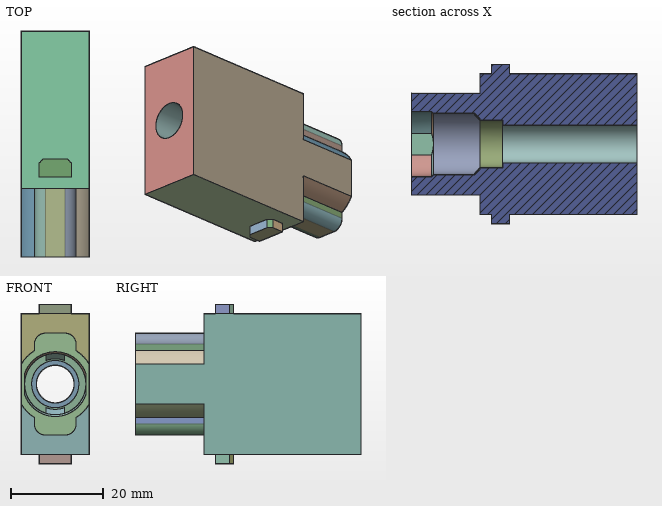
import cadquery as cq

overall_length = 48.7
width = 14.65
overall_height = 34.4
key_height = 2.0
block_height = overall_height - 2 * key_height
plug_length = 14.8
block_length = overall_length - plug_length

barrel_diameter = 17.0
bar_width = 9.0
bar_height = 21.95
bar_corner_radius = 2.4

key_width = 6.95
key_length = 3.9
key_setback = 2.5
key_chamfer = 0.93

bore_direction = cq.Vector(0, 1, 0)
mouth_diameter = 14.0
mouth_depth = 4.4
socket_diameter = 13.2
socket_depth = plug_length
seat_diameter = 10.2
seat_depth = 4.85
through_diameter = 8.1

stop_width = 4.0
stop_inner_diameter = 10.9


def centred_block(x_size, y_start, y_size, z_size):
    """Block centred on the bore axis, starting at y_start and running toward +Y."""
    return cq.Workplane("XY").box(x_size, y_size, z_size).translate((0, y_start + y_size / 2, 0))


def bore_cylinder(diameter, y_start, length):
    """Cylinder on the bore axis, starting at y_start and running toward +Y."""
    cylinder = cq.Solid.makeCylinder(diameter / 2, length, cq.Vector(0, y_start, 0), bore_direction)
    return cq.Workplane(cylinder)


def bore_taper(start_diameter, end_diameter, y_start):
    """45 degree taper on the bore axis, narrowing toward +Y."""
    length = (start_diameter - end_diameter) / 2
    start = cq.Vector(0, y_start, 0)
    cone = cq.Solid.makeCone(start_diameter / 2, end_diameter / 2, length, start, bore_direction)
    return cq.Workplane(cone)


def make_plug():
    barrel = bore_cylinder(barrel_diameter, 0, plug_length)
    barrel = barrel.intersect(centred_block(width, 0, plug_length, barrel_diameter))
    bar = centred_block(bar_width, 0, plug_length, bar_height).edges("|Y").fillet(bar_corner_radius)
    return barrel.union(bar)


def make_keys():
    prism = centred_block(key_width, plug_length + key_setback, key_length, overall_height)
    return prism.faces(">Y").edges("|Z").chamfer(key_chamfer)


def make_stops():
    ramp_length = (socket_diameter - stop_inner_diameter) / 2
    ramp_start = socket_depth - ramp_length
    stops = centred_block(stop_width, ramp_start, ramp_length, socket_diameter)
    stops = stops.intersect(bore_cylinder(socket_diameter, ramp_start, ramp_length))
    return stops.cut(bore_taper(socket_diameter, stop_inner_diameter, ramp_start))


def make_bore():
    mouth = bore_cylinder(mouth_diameter, 0, mouth_depth)
    mouth = mouth.union(bore_taper(mouth_diameter, socket_diameter, mouth_depth))
    mouth = mouth.intersect(centred_block(socket_diameter, 0, socket_depth, mouth_diameter))
    socket = bore_cylinder(socket_diameter, 0, socket_depth).cut(make_stops())
    seat = bore_cylinder(seat_diameter, 0, socket_depth + seat_depth)
    through_hole = bore_cylinder(through_diameter, 0, overall_length)
    return mouth.union(socket).union(seat).union(through_hole)


block = centred_block(width, plug_length, block_length, block_height)
result = block.union(make_plug()).union(make_keys()).cut(make_bore())